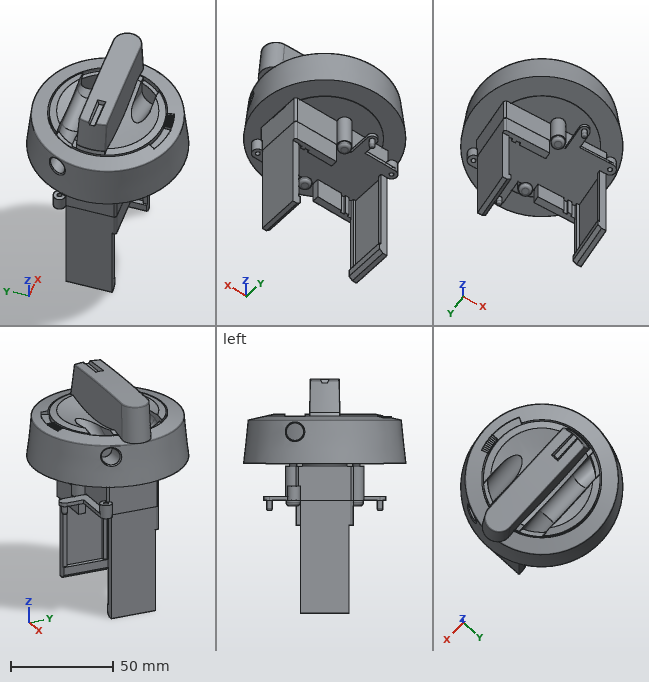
import cadquery as cq
import math

LEG_TOP = 55.1
BLOCK_TOP = 71.8
GASKET_BOTTOM = 72.8
HOUSING_BOTTOM = 73.2
SEAT_FLOOR = 80.0
HANDLE_TOP = 114.4

HALF_LENGTH = 29.5
HALF_WIDTH = 14.0
CORNER = 1.1
WALL_BOTTOM = 42.9
WALL_THICKNESS = 3.8
WALL_START_X = 3.9
LEG_THICKNESS = 3.8
LEG_HALF_WIDTH = 11.9
HOOK_DEPTH = 0.9
HOOK_BOTTOM = 1.8
HOOK_TOP = 6.1
HOOK_CHAMFER = 2.1
POCKET_DEPTH = 1.5
POCKET_RIM = 2.2
GROOVE_WIDTH = 2.3
GROOVE_DEPTH = 1.1

LUG_RADIUS = 3.1
LUG_HOLE_RADIUS = 1.1
LUG_HEIGHT = 7.0
LUG_X = 29.8
LUG_Y = 15.0
ARM_THICKNESS = 2.0
ARM_RADIUS = 2.9
ARM_X = 8.0
ARM_Y = 27.0
PIN_DIAMETER = 2.9
PIN_RADIUS = PIN_DIAMETER / 2
PIN_LENGTH = 5.0
PIN_ROUND = 1.0

SCREW_Y = 15.4
BOSS_RADIUS = 3.8
SHANK_RADIUS = 1.8
SHANK_TOP = 77.8
HEAD_RADIUS = 3.4
HEAD_HEIGHT = 2.7
HEAD_ROUND = 1.6
HUB_RADIUS = 10.9
GASKET_RADIUS = 28.7

BASE_DIAMETER = 79.3
BASE_RADIUS = BASE_DIAMETER / 2
SHOULDER_RADIUS = 37.4
SHOULDER_Z = 94.3
RIM_RADIUS = 29.3
RIM_Z = 96.2
SHOULDER_ROUND = 0.3
SIDE_HOLE_RADIUS = 4.2
SIDE_HOLE_CHAMFER = 0.6
LOCK_Y = 14.5
SIDE_HOLE_Z = 88.6
SIDE_HOLE_MOUTH_X = 35.0

SLOT_FLOOR = 94.2
SLOT_RADIUS = 32.6
SLOT_START = -118.0
SLOT_END = -73.5
SLIDER_START = -90.0
SLIDER_INNER_RADIUS = 28.9
SLIDER_TOP = 96.0
RIB_COUNT = 4
RIB_GROOVE_DEPTH = 0.5

KNOB_RADIUS = 28.5
KNOB_EDGE_Z = 96.4
DISH_RADIUS = 24.9
DISH_RIM_Z = 97.2
DISH_DEPTH = 3.4
TROUGH_RADIUS = 4.9
TROUGH_WALL_RADIUS = 26.4
TROUGH_LEDGE_Z = 94.7
TROUGH_LOW_X = 24.8
TROUGH_LOW_Z = 88.9
TROUGH_SLOPE = 0.44
CHANNEL_Z = 94.3

HANDLE_BASE_Z = 92.6
HANDLE_BASE = dict(left=-28.6, right=39.7, half_width=7.5)
HANDLE_CREST = dict(left=-24.1, right=37.7, half_width=7.1)
HANDLE_BULGE = 1.0
HANDLE_NOSE = 7.0
FOOT_TOP = 98.1
FOOT_HALF_WIDTH = 7.2
FOOT_RADIUS = 27.7
HANDLE_CROWN = 0.7
HANDLE_EDGE = 0.3
OVERHANG_Z = 95.0
OVERHANG_GAP = 0.1
MARK_END_X = -9.3
MARK_HALF_WIDTH = 2.2
MARK_DEPTH = 2.1
MARK_TAPER = 25.0

OVERLAP = 1.1
PICK_RANGE = 0.5


def cylinder(radius, bottom, top, x=0.0, y=0.0):
    return cq.Workplane("XY", origin=(x, y, bottom)).circle(radius).extrude(top - bottom)


def box(x_range, y_range, z_range):
    size = [high - low for low, high in (x_range, y_range, z_range)]
    return cq.Workplane("XY").box(*size, centered=False).translate((x_range[0], y_range[0], z_range[0]))


def revolve(points):
    """Turn a closed (radius, z) outline about the Z axis."""
    return cq.Workplane("XZ").polyline(points).close().revolve(360, (0, 0, 0), (0, 1, 0))


def centered_near(x, y, z):
    """Selector for edges whose centre lies close to a point."""
    low = (x - PICK_RANGE, y - PICK_RANGE, z - PICK_RANGE)
    high = (x + PICK_RANGE, y + PICK_RANGE, z + PICK_RANGE)
    return cq.selectors.BoxSelector(low, high)


def half_turn(shape):
    """The same shape on the opposite side of the Z axis."""
    return shape.rotate((0, 0, 0), (0, 0, 1), 180)


def ring_sector(inner, outer, start, end, bottom, top):
    """Block between two radii and two angles about the Z axis."""
    def at(radius, angle):
        return radius * math.cos(math.radians(angle)), radius * math.sin(math.radians(angle))

    middle = (start + end) / 2
    return (
        cq.Workplane("XY", origin=(0, 0, bottom))
        .moveTo(*at(inner, start))
        .lineTo(*at(outer, start))
        .threePointArc(at(outer, middle), at(outer, end))
        .lineTo(*at(inner, end))
        .threePointArc(at(inner, middle), at(inner, start))
        .close()
        .extrude(top - bottom)
    )


def make_leg():
    """Leg on the +X side: a long hooked plate with a short wall along its +Y edge."""
    inner_x = HALF_LENGTH - LEG_THICKNESS
    hook_x = inner_x - HOOK_DEPTH
    plate = (
        cq.Workplane("XZ", origin=(0, LEG_HALF_WIDTH, 0))
        .polyline([
            (HALF_LENGTH, 0),
            (hook_x + HOOK_CHAMFER, 0),
            (hook_x, HOOK_BOTTOM),
            (hook_x, HOOK_TOP),
            (inner_x, HOOK_TOP),
            (inner_x, LEG_TOP),
            (HALF_LENGTH, LEG_TOP),
        ])
        .close()
        .extrude(2 * LEG_HALF_WIDTH)
    )
    pocket_half = LEG_HALF_WIDTH - POCKET_RIM
    pocket = box(
        (inner_x, inner_x + POCKET_DEPTH), (-pocket_half, pocket_half), (HOOK_TOP, LEG_TOP)
    )
    height = (WALL_BOTTOM, LEG_TOP)
    wall_face = HALF_WIDTH - WALL_THICKNESS
    wall = box((WALL_START_X, HALF_LENGTH), (wall_face, HALF_WIDTH), height)
    wall = wall.edges("|Z and >X and >Y").fillet(CORNER)
    for step in (1, 3):
        groove_x = inner_x - step * GROOVE_WIDTH
        wall = wall.cut(
            box((groove_x, groove_x + GROOVE_WIDTH), (wall_face, wall_face + GROOVE_DEPTH), height)
        )
    return plate.cut(pocket).union(wall)


def make_block_arm():
    """Lug and pinned arm at the +X, -Y corner of the block."""
    arm_top = LEG_TOP + ARM_THICKNESS
    height = (LEG_TOP, arm_top)
    strip = box((ARM_X - ARM_RADIUS, LUG_X), (-LUG_Y - LUG_RADIUS, -HALF_WIDTH), height)
    finger = box((ARM_X - ARM_RADIUS, ARM_X + ARM_RADIUS), (-ARM_Y, -HALF_WIDTH), height)
    finger = finger.union(cylinder(ARM_RADIUS, LEG_TOP, arm_top, ARM_X, -ARM_Y))
    pin = cylinder(PIN_RADIUS, LEG_TOP - PIN_LENGTH, LEG_TOP, ARM_X, -ARM_Y)
    pin = pin.faces("<Z").edges().fillet(PIN_ROUND)
    lug = cylinder(LUG_RADIUS, LEG_TOP, LEG_TOP + LUG_HEIGHT, LUG_X, -LUG_Y)
    lug = lug.union(box(
        (HALF_LENGTH - CORNER, LUG_X),
        (-LUG_Y, -LUG_Y + LUG_RADIUS),
        (LEG_TOP, LEG_TOP + LUG_HEIGHT),
    ))
    return strip.union(finger).union(pin).union(lug)


def make_block():
    """Mounting block with a lug and an arm at two opposite corners and a boss for each screw."""
    height = (LEG_TOP, BLOCK_TOP)
    block = box((-HALF_LENGTH, HALF_LENGTH), (-HALF_WIDTH, HALF_WIDTH), height)
    block = block.edges("|Z").chamfer(CORNER)
    arm = make_block_arm()
    lug_hole = cylinder(LUG_HOLE_RADIUS, LEG_TOP, BLOCK_TOP, LUG_X, -LUG_Y)
    for side in (-1, 1):
        block = block.union(cylinder(BOSS_RADIUS, *height, y=side * SCREW_Y))
    block = block.union(arm).union(half_turn(arm))
    for side in (-1, 1):
        block = block.cut(cylinder(SHANK_RADIUS, *height, y=side * SCREW_Y))
    return block.cut(lug_hole).cut(half_turn(lug_hole))


def make_screw(y):
    head = cylinder(HEAD_RADIUS, LEG_TOP - HEAD_HEIGHT, LEG_TOP, y=y)
    head = head.faces("<Z").edges().fillet(HEAD_ROUND)
    return head.union(cylinder(SHANK_RADIUS, LEG_TOP, SHANK_TOP, y=y))


def make_hub():
    return cylinder(HUB_RADIUS, BLOCK_TOP, GASKET_BOTTOM)


def make_gasket():
    gasket = cylinder(GASKET_RADIUS, GASKET_BOTTOM, HOUSING_BOTTOM)
    for side in (-1, 1):
        gasket = gasket.cut(cylinder(SHANK_RADIUS, GASKET_BOTTOM, HOUSING_BOTTOM, y=side * SCREW_Y))
    return gasket


def make_side_hole():
    """Cutter along +X, from the knob to the outside."""
    start = cq.Workplane("YZ", origin=(KNOB_RADIUS / 2, -LOCK_Y, SIDE_HOLE_Z))
    return start.circle(SIDE_HOLE_RADIUS).extrude(BASE_RADIUS)


def chamfer_side_hole(housing, side):
    """Break the outer edge of the side hole on the +X (1) or -X (-1) side."""
    mouth = centered_near(side * SIDE_HOLE_MOUTH_X, -side * LOCK_Y, SIDE_HOLE_Z)
    return housing.edges(mouth).chamfer(SIDE_HOLE_CHAMFER)


def make_housing():
    """Conical housing with a bore for the knob, two side holes and the slider slot."""
    housing = revolve([
        (0, HOUSING_BOTTOM),
        (BASE_RADIUS, HOUSING_BOTTOM),
        (SHOULDER_RADIUS, SHOULDER_Z),
        (RIM_RADIUS, RIM_Z),
        (RIM_RADIUS, SLOT_FLOOR),
        (KNOB_RADIUS, SLOT_FLOOR),
        (KNOB_RADIUS, SEAT_FLOOR),
        (0, SEAT_FLOOR),
    ])
    housing = housing.edges(centered_near(0, 0, SHOULDER_Z)).fillet(SHOULDER_ROUND)
    side_hole = make_side_hole()
    housing = housing.cut(side_hole).cut(half_turn(side_hole))
    for side in (-1, 1):
        housing = chamfer_side_hole(housing, side)
        housing = housing.cut(cylinder(SHANK_RADIUS, HOUSING_BOTTOM, SHANK_TOP, y=side * SCREW_Y))
    slot = ring_sector(KNOB_RADIUS, SLOT_RADIUS, SLOT_START, SLOT_END, SLOT_FLOOR, HANDLE_TOP)
    return housing.cut(slot)


def make_slider():
    """Ribbed slider at one end of the curved slot."""
    slider = ring_sector(
        SLIDER_INNER_RADIUS, SLOT_RADIUS, SLIDER_START, SLOT_END, SLOT_FLOOR, SLIDER_TOP
    )
    pitch = (SLOT_END - SLIDER_START) / (2 * RIB_COUNT + 1)
    for index in range(RIB_COUNT):
        start = SLIDER_START + (2 * index + 1) * pitch
        slider = slider.cut(
            ring_sector(
                SLIDER_INNER_RADIUS - OVERLAP,
                SLOT_RADIUS + OVERLAP,
                start,
                start + pitch,
                SLIDER_TOP - RIB_GROOVE_DEPTH,
                SLIDER_TOP,
            )
        )
    return slider


def make_handle():
    """Tapered grip with a rounded +X end and a crowned top."""
    def section(work, left, right, half_width):
        round_x = right - HANDLE_NOSE
        return (
            work.moveTo(left + HANDLE_BULGE, half_width)
            .lineTo(round_x, half_width)
            .threePointArc((right, 0), (round_x, -half_width))
            .lineTo(left + HANDLE_BULGE, -half_width)
            .threePointArc((left, 0), (left + HANDLE_BULGE, half_width))
            .close()
        )

    handle = section(cq.Workplane("XY", origin=(0, 0, HANDLE_BASE_Z)), **HANDLE_BASE)
    handle = section(handle.workplane(offset=HANDLE_TOP - HANDLE_BASE_Z), **HANDLE_CREST)
    handle = handle.loft(ruled=True)

    left, right = HANDLE_CREST["left"], HANDLE_CREST["right"]
    shoulder_z = HANDLE_TOP - HANDLE_CROWN
    depth = 2 * HANDLE_BASE["half_width"]
    crown = (
        cq.Workplane("XZ", origin=(0, depth, 0))
        .moveTo(2 * left, HANDLE_BASE_Z)
        .lineTo(2 * left, shoulder_z)
        .lineTo(left, shoulder_z)
        .threePointArc(((left + right) / 2, HANDLE_TOP), (right, shoulder_z))
        .lineTo(2 * right, shoulder_z)
        .lineTo(2 * right, HANDLE_BASE_Z)
        .close()
        .extrude(2 * depth)
    )
    handle = handle.intersect(crown)
    blunt_corners = cq.selectors.BoxSelector(
        (-KNOB_RADIUS, -depth, FOOT_TOP), (left / 2, depth, shoulder_z - HANDLE_CROWN)
    )
    handle = handle.edges(blunt_corners).fillet(HANDLE_EDGE)
    return handle.faces(">Z").edges().fillet(HANDLE_EDGE)


def make_handle_foot():
    """Flared foot under the -X end of the handle, concentric with the knob."""
    inner = DISH_RADIUS - OVERLAP
    foot = revolve([
        (inner, HANDLE_BASE_Z),
        (KNOB_RADIUS, HANDLE_BASE_Z),
        (KNOB_RADIUS, KNOB_EDGE_Z),
        (FOOT_RADIUS, FOOT_TOP),
        (inner, FOOT_TOP),
    ])
    return foot.intersect(
        box((-KNOB_RADIUS, 0), (-FOOT_HALF_WIDTH, FOOT_HALF_WIDTH), (HANDLE_BASE_Z, FOOT_TOP))
    )


def make_handle_mark():
    """Tapered groove along the top of the handle, open at its -X end."""
    length = MARK_END_X + KNOB_RADIUS
    return (
        cq.Workplane("XY", origin=(MARK_END_X - length / 2, 0, HANDLE_TOP))
        .rect(length, 2 * MARK_HALF_WIDTH)
        .extrude(-MARK_DEPTH, taper=MARK_TAPER)
    )


def make_overhang_clearance():
    """Everything under the handle that stays free for the housing."""
    slope = (RIM_Z - SHOULDER_Z) / (SHOULDER_RADIUS - RIM_RADIUS)
    top = RIM_Z + OVERHANG_GAP
    reach = RIM_RADIUS + (top - OVERHANG_Z) / slope
    far = 2 * BASE_RADIUS
    return revolve([
        (KNOB_RADIUS, SEAT_FLOOR),
        (far, SEAT_FLOOR),
        (far, OVERHANG_Z),
        (reach, OVERHANG_Z),
        (RIM_RADIUS, top),
        (KNOB_RADIUS, top),
    ])


def trough_run(start, end, y):
    """Straight round-bottomed run between two (x, z) points, open upwards."""
    direction = (end[0] - start[0], 0, end[1] - start[1])
    plane = cq.Plane(origin=(start[0], y, start[1]), xDir=(0, 1, 0), normal=direction)
    length = math.hypot(direction[0], direction[2])
    tube = cq.Workplane(plane).circle(TROUGH_RADIUS).extrude(length)
    above = (
        cq.Workplane("XZ", origin=(0, y + TROUGH_RADIUS, 0))
        .polyline([start, end, (end[0], HANDLE_TOP), (start[0], HANDLE_TOP)])
        .close()
        .extrude(2 * TROUGH_RADIUS)
    )
    return tube.union(above)


def make_outlet(y, start_x):
    """Trough that slopes down towards +X and stops at a wall, with a low ledge through the rim."""
    def axis_z(x):
        return TROUGH_LOW_Z + TROUGH_SLOPE * (TROUGH_LOW_X - x)

    run = trough_run((start_x, axis_z(start_x)), (KNOB_RADIUS, axis_z(KNOB_RADIUS)), y)
    run = run.intersect(cylinder(TROUGH_WALL_RADIUS, 0, HANDLE_TOP))
    ledge = box(
        (DISH_RADIUS / 2, KNOB_RADIUS),
        (y - TROUGH_RADIUS, y + TROUGH_RADIUS),
        (TROUGH_LEDGE_Z, HANDLE_TOP),
    )
    rim = cylinder(KNOB_RADIUS + OVERLAP, 0, HANDLE_TOP).cut(cylinder(TROUGH_WALL_RADIUS, 0, HANDLE_TOP))
    return run.union(ledge.intersect(rim))


def make_knob():
    """Dished disc with a handle across it, one long trough and one short one."""
    knob = revolve([
        (0, SEAT_FLOOR),
        (KNOB_RADIUS, SEAT_FLOOR),
        (KNOB_RADIUS, KNOB_EDGE_Z),
        (DISH_RADIUS, DISH_RIM_Z),
        (0, DISH_RIM_Z),
    ])
    sphere_radius = (DISH_RADIUS ** 2 + DISH_DEPTH ** 2) / (2 * DISH_DEPTH)
    dish = cq.Workplane("XY").sphere(sphere_radius)
    knob = knob.cut(dish.translate((0, 0, DISH_RIM_Z - DISH_DEPTH + sphere_radius)))

    level_x = TROUGH_LOW_X - (CHANNEL_Z - TROUGH_LOW_Z) / TROUGH_SLOPE
    knob = knob.cut(make_outlet(-LOCK_Y, -level_x))
    knob = knob.cut(make_outlet(LOCK_Y, level_x))
    knob = knob.cut(half_turn(make_outlet(-LOCK_Y, level_x)))
    knob = knob.cut(trough_run((-level_x, CHANNEL_Z), (level_x, CHANNEL_Z), LOCK_Y))

    handle = make_handle().cut(make_handle_mark()).cut(make_overhang_clearance())
    return knob.union(handle).union(make_handle_foot())


housing = make_housing()
knob = make_knob()
slider = make_slider()
gasket = make_gasket()
hub = make_hub()
block = make_block()
screws = [make_screw(side * SCREW_Y) for side in (-1, 1)]
legs = [make_leg(), half_turn(make_leg())]

result = cq.Compound.makeCompound([
    housing.val(),
    knob.val(),
    slider.val(),
    gasket.val(),
    hub.val(),
    block.val(),
    *[screw.val() for screw in screws],
    *[leg.val() for leg in legs],
])